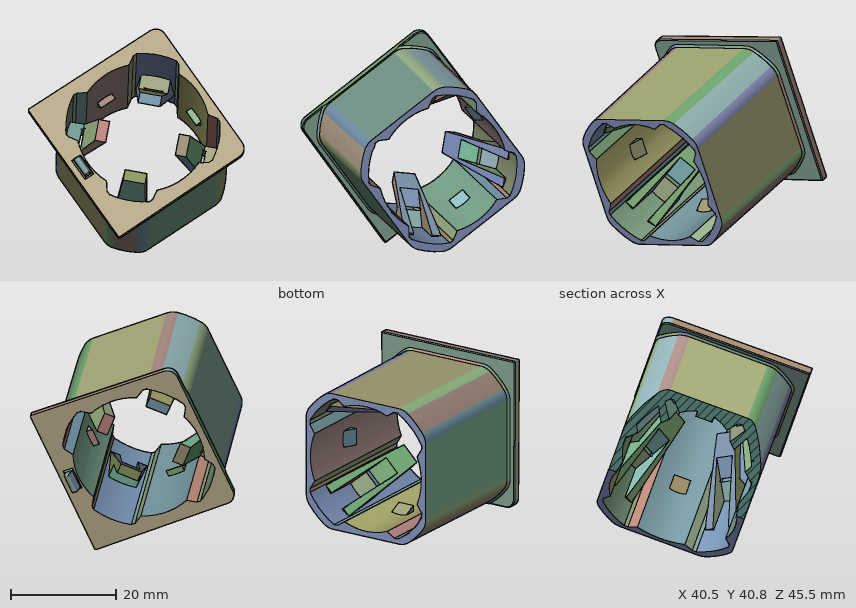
import cadquery as cq
import math

SPIN_ANGLE = -0.13
LEAN_ANGLE = 33.46
TILT_ANGLE = 20.25
PIVOT = (0, 0, 0)

PLATE_HEIGHT = 29.92
PLATE_TOP_WIDTH = 29.96
PLATE_BOTTOM_WIDTH = 30.5
PLATE_THICKNESS = 1.5
PLATE_TOP_CORNER = 2.0
PLATE_BOTTOM_CORNER = 0.3
PLATE_BACK_CHAMFER = 0.2

AXIS_RISE = 1.05
LENGTH = 29.85
BODY_WIDTH = 27.26
BODY_HEIGHT = 27.5
BODY_FLAT_DRAFT = 0.1
BODY_CORNER_RADIUS = 16.35
BODY_CORNER_DRAFT = 0.35
BODY_EDGE_FILLET = 3.5
BODY_ROOT_FLARE = 0.4

SIDE_ARC_RADIUS = 12.6
SIDE_ARC_HALF_WIDTH = 4.8
NOTCH_REACH = 12.7
NOTCH_HALF_WIDTH = 6.5
CORNER_ARC_RADIUS = 14.63

BUMP_WIDTH = 3.3
BUMP_FRONT_DEPTH = 16.0
BUMP_BACK_DEPTH = 18.7
BUMP_REACH = 11.3

TIP_DEPTH = 7.3
TIP_INNER_RADIUS = 6.7
TIP_OUTER_RADIUS = 8.8
TIP_HALF_WIDTH = 2.1
ROOT_DEPTH = 24.5
ROOT_INNER_RADIUS = 14.2
ROOT_HALF_WIDTH = 3.7
ROOT_OVERLAP = 0.3
FINGER_OUTER_SLOPE = 0.37
GAP_DEPTH = 15.0
SLOT_HALF_WIDTH = 1.84
SLOT_WALL_DEPTH = 18.0
SLOT_SLOPE = 1.0

TAB_WIDTH = 3.9
TAB_BOTTOM = -13.5
TAB_HEIGHT = 1.85
TAB_FLAT = 0.85
TAB_RAMP = 0.8
TAB_FILLET = 0.25
TAB_FOOT = 0.3
TAB_FOOT_CHAMFER = 0.297


def turn_about_axis(shape, angle):
    return shape.rotate((0, AXIS_RISE, 0), (0, AXIS_RISE, 1), angle)


def quarter_turns(shape):
    """The shape repeated four times about the body axis."""
    turned = shape
    for quarter in range(1, 4):
        turned = turned.union(turn_about_axis(shape, 90 * quarter))
    return turned


def plate_blank(depth):
    blank = (
        cq.Workplane("XY")
        .moveTo(-PLATE_BOTTOM_WIDTH / 2, -PLATE_HEIGHT / 2)
        .lineTo(PLATE_BOTTOM_WIDTH / 2, -PLATE_HEIGHT / 2)
        .lineTo(PLATE_TOP_WIDTH / 2, PLATE_HEIGHT / 2)
        .lineTo(-PLATE_TOP_WIDTH / 2, PLATE_HEIGHT / 2)
        .close()
        .extrude(-depth)
    )
    blank = blank.edges("|Z and >Y").fillet(PLATE_TOP_CORNER)
    return blank.edges("|Z and <Y").fillet(PLATE_BOTTOM_CORNER)


def make_plate():
    return plate_blank(PLATE_THICKNESS).faces("<Z").chamfer(PLATE_BACK_CHAMFER)


def body_section(depth, growth, flat_draft, corner_draft):
    """A square length of body with its corners turned round, narrowing backwards."""
    backwards = cq.Plane(origin=(0, AXIS_RISE, 0), xDir=(1, 0, 0), normal=(0, 0, -1))
    base = cq.Workplane(backwards)
    square = base.rect(BODY_WIDTH + 2 * growth, BODY_HEIGHT + 2 * growth)
    square = square.extrude(depth, taper=flat_draft)
    cone = base.circle(BODY_CORNER_RADIUS + growth).extrude(depth, taper=corner_draft)
    return square.intersect(cone).edges("not(<Z or >Z)").fillet(BODY_EDGE_FILLET)


def make_body():
    return body_section(LENGTH, 0, BODY_FLAT_DRAFT, BODY_CORNER_DRAFT)


def make_root_flare():
    """The sloped collar where the body meets the plate, kept inside the plate outline."""
    depth = PLATE_THICKNESS + BODY_ROOT_FLARE
    collar = body_section(depth, BODY_ROOT_FLARE, 0, 0)
    collar = collar.faces("<Z").chamfer(BODY_ROOT_FLARE)
    return collar.intersect(plate_blank(depth))


def make_bore():
    """The bore cutter, drawn side by side around the axis."""
    side_reach = math.sqrt(SIDE_ARC_RADIUS**2 - SIDE_ARC_HALF_WIDTH**2)
    corner_half_width = math.sqrt(CORNER_ARC_RADIUS**2 - NOTCH_REACH**2)
    corner_middle = CORNER_ARC_RADIUS * math.sqrt(0.5)

    def turn(point, quarter):
        x, y = point
        for _ in range(quarter):
            x, y = -y, x
        return (x, y)

    outline = cq.Workplane("XY").center(0, AXIS_RISE).moveTo(side_reach, -SIDE_ARC_HALF_WIDTH)
    for quarter in range(4):
        outline = outline.threePointArc(
            turn((SIDE_ARC_RADIUS, 0), quarter), turn((side_reach, SIDE_ARC_HALF_WIDTH), quarter)
        )
        outline = outline.lineTo(*turn((NOTCH_REACH, NOTCH_HALF_WIDTH), quarter))
        outline = outline.lineTo(*turn((NOTCH_REACH, corner_half_width), quarter))
        outline = outline.threePointArc(
            turn((corner_middle, corner_middle), quarter),
            turn((corner_half_width, NOTCH_REACH), quarter),
        )
        outline = outline.lineTo(*turn((NOTCH_HALF_WIDTH, NOTCH_REACH), quarter))
        if quarter < 3:
            outline = outline.lineTo(*turn((SIDE_ARC_HALF_WIDTH, side_reach), quarter))
    return outline.close().extrude(-LENGTH)


def make_bumps():
    """Wedges with a square front face, running out into the side arcs towards the back."""
    bump = (
        cq.Workplane("XZ", origin=(0, AXIS_RISE, 0))
        .moveTo(BUMP_REACH, -BUMP_FRONT_DEPTH)
        .lineTo(NOTCH_REACH, -BUMP_FRONT_DEPTH)
        .lineTo(NOTCH_REACH, -BUMP_BACK_DEPTH)
        .lineTo(SIDE_ARC_RADIUS, -BUMP_BACK_DEPTH)
        .close()
        .extrude(BUMP_WIDTH / 2, both=True)
    )
    return quarter_turns(bump)


def make_fingers():
    """Fingers rooted in the corner walls, leaning inwards to the front and slotted at the root."""
    wall = CORNER_ARC_RADIUS + ROOT_OVERLAP
    gap_radius = TIP_OUTER_RADIUS + FINGER_OUTER_SLOPE * (GAP_DEPTH - TIP_DEPTH)
    side = (
        cq.Workplane("XZ", origin=(0, AXIS_RISE, 0))
        .moveTo(TIP_INNER_RADIUS, -TIP_DEPTH)
        .lineTo(TIP_OUTER_RADIUS, -TIP_DEPTH)
        .lineTo(gap_radius, -GAP_DEPTH)
        .lineTo(wall, -GAP_DEPTH)
        .lineTo(wall, -ROOT_DEPTH)
        .lineTo(ROOT_INNER_RADIUS, -ROOT_DEPTH)
        .close()
        .extrude(ROOT_HALF_WIDTH, both=True)
    )
    face = (
        cq.Workplane("YZ", origin=(0, AXIS_RISE, 0))
        .moveTo(-TIP_HALF_WIDTH, -TIP_DEPTH)
        .lineTo(TIP_HALF_WIDTH, -TIP_DEPTH)
        .lineTo(ROOT_HALF_WIDTH, -ROOT_DEPTH)
        .lineTo(-ROOT_HALF_WIDTH, -ROOT_DEPTH)
        .close()
        .extrude(wall)
    )
    slot_front = SLOT_WALL_DEPTH - (wall - TIP_INNER_RADIUS) * SLOT_SLOPE
    slot = (
        cq.Workplane("XZ", origin=(0, AXIS_RISE, 0))
        .moveTo(wall, -SLOT_WALL_DEPTH)
        .lineTo(TIP_INNER_RADIUS, -slot_front)
        .lineTo(TIP_INNER_RADIUS, -ROOT_DEPTH)
        .lineTo(wall, -ROOT_DEPTH)
        .close()
        .extrude(SLOT_HALF_WIDTH, both=True)
    )
    finger = side.intersect(face).cut(slot)
    return quarter_turns(turn_about_axis(finger, 45))


def make_tab():
    """A rounded tab, upright below and ramped towards the bore, on a chamfered foot."""
    tab = (
        cq.Workplane("YZ")
        .moveTo(TAB_BOTTOM, 0)
        .lineTo(TAB_BOTTOM, TAB_HEIGHT)
        .lineTo(TAB_BOTTOM + TAB_FLAT, TAB_HEIGHT)
        .lineTo(TAB_BOTTOM + TAB_FLAT + TAB_RAMP, 0)
        .close()
        .extrude(TAB_WIDTH / 2, both=True)
    )
    tab = tab.faces(">Z").edges().fillet(TAB_FILLET)
    foot = (
        cq.Workplane("XY")
        .moveTo(0, TAB_BOTTOM + (TAB_FLAT + TAB_RAMP - TAB_FOOT) / 2)
        .rect(TAB_WIDTH + 2 * TAB_FOOT, TAB_FLAT + TAB_RAMP + TAB_FOOT)
        .extrude(TAB_FOOT)
        .faces(">Z")
        .edges("|X and <Y or |Y")
        .chamfer(TAB_FOOT_CHAMFER)
    )
    return tab.union(foot)


shell = make_plate().union(make_body()).union(make_root_flare())
upright = shell.cut(make_bore())
upright = upright.union(make_bumps()).union(make_fingers()).union(make_tab())

turned = upright.rotate(PIVOT, (0, 0, 1), SPIN_ANGLE)
turned = turned.rotate(PIVOT, (0, 1, 0), LEAN_ANGLE)
result = turned.rotate(PIVOT, (1, 0, 0), TILT_ANGLE)